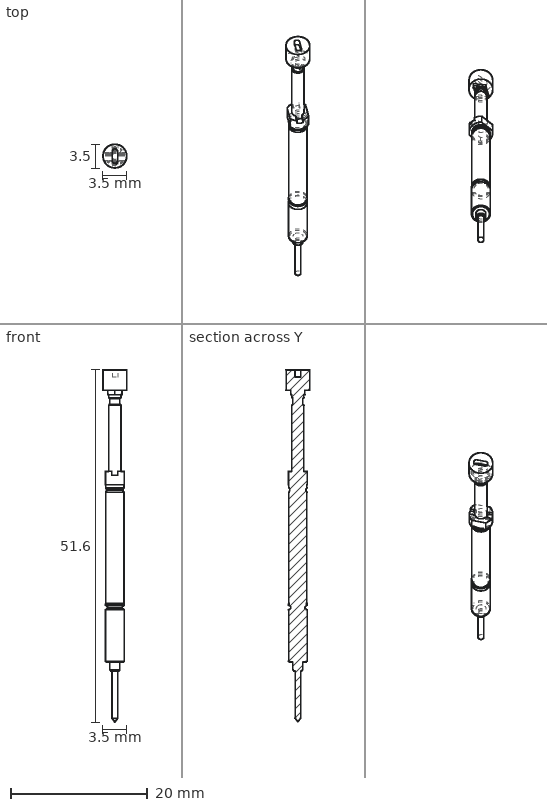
import cadquery as cq

TOTAL_LENGTH = 51.6

PIN_RADIUS = 0.45
PIN_TIP_LENGTH = 0.6
TERMINAL_RADIUS = 0.75
TERMINAL_BOTTOM = 7.5
TERMINAL_CHAMFER = 0.15

PLUG_RADIUS = 1.385
SLEEVE_RADIUS = 1.35
SLEEVE_BOTTOM = 17.3
SLEEVE_CHAMFER = 0.1
BARREL_BOTTOM = 8.8
BARREL_TOP = 34.8
PLUG_CHAMFER = 0.15
LOWER_GROOVE_RADIUS = 1.05
LOWER_GROOVE_CENTRE = 16.8
LOWER_GROOVE_LENGTH = 0.7
UPPER_GROOVE_RADIUS = 1.2
UPPER_GROOVE_CENTRE = 34.02
UPPER_GROOVE_LENGTH = 0.65
GROOVE_FLOOR_LENGTH = 0.15

COLLAR_RADIUS = 1.74
COLLAR_FLAT_DISTANCE = 1.385
COLLAR_HEIGHT = 1.95
COLLAR_NOTCH_WIDTH = 0.9
COLLAR_NOTCH_DEPTH = 0.6

SHAFT_RADIUS = 0.9
NECK_RADIUS = 0.75
NECK_BOTTOM = 46.6
NECK_TOP = 47.4
NECK_TAPER_LENGTH = 0.15

HEAD_RADIUS = 1.75
HEAD_HEIGHT = 3.0
SLOT_WIDTH = 0.8
SLOT_LENGTH = 2.1
SLOT_DEPTH = 1.0
KEY_WIDTH = 2.1
KEY_LENGTH = 3.05
KEY_HEIGHT = 0.6

COLLAR_TOP = BARREL_TOP + COLLAR_HEIGHT
HEAD_BOTTOM = TOTAL_LENGTH - HEAD_HEIGHT
KEY_BOTTOM = HEAD_BOTTOM - KEY_HEIGHT


def groove(outer_radius, floor_radius, centre, length):
    """Profile points, bottom to top, of a turned groove with sloped walls."""
    return [
        (outer_radius, centre - length / 2),
        (floor_radius, centre - GROOVE_FLOOR_LENGTH / 2),
        (floor_radius, centre + GROOVE_FLOOR_LENGTH / 2),
        (outer_radius, centre + length / 2),
    ]


def make_turned_body():
    """Revolve the pin, terminal, barrel and plunger shaft as one turned profile."""
    pin = [
        (0, 0),
        (PIN_RADIUS, PIN_TIP_LENGTH),
        (PIN_RADIUS, TERMINAL_BOTTOM),
    ]
    terminal = [
        (TERMINAL_RADIUS - TERMINAL_CHAMFER, TERMINAL_BOTTOM),
        (TERMINAL_RADIUS, TERMINAL_BOTTOM + TERMINAL_CHAMFER),
        (TERMINAL_RADIUS, BARREL_BOTTOM),
    ]
    barrel = [
        (PLUG_RADIUS - PLUG_CHAMFER, BARREL_BOTTOM),
        (PLUG_RADIUS, BARREL_BOTTOM + PLUG_CHAMFER),
        *groove(PLUG_RADIUS, LOWER_GROOVE_RADIUS, LOWER_GROOVE_CENTRE, LOWER_GROOVE_LENGTH),
        (PLUG_RADIUS, SLEEVE_BOTTOM),
        (SLEEVE_RADIUS - SLEEVE_CHAMFER, SLEEVE_BOTTOM),
        (SLEEVE_RADIUS, SLEEVE_BOTTOM + SLEEVE_CHAMFER),
        *groove(SLEEVE_RADIUS, UPPER_GROOVE_RADIUS, UPPER_GROOVE_CENTRE, UPPER_GROOVE_LENGTH),
        (SLEEVE_RADIUS, BARREL_TOP),
    ]
    shaft = [
        (SHAFT_RADIUS, BARREL_TOP),
        (SHAFT_RADIUS, NECK_BOTTOM - NECK_TAPER_LENGTH),
        (NECK_RADIUS, NECK_BOTTOM),
        (NECK_RADIUS, NECK_TOP),
        (SHAFT_RADIUS, NECK_TOP + NECK_TAPER_LENGTH),
        (SHAFT_RADIUS, KEY_BOTTOM),
        (0, KEY_BOTTOM),
    ]
    profile = cq.Workplane("XZ").polyline(pin + terminal + barrel + shaft).close()
    return profile.revolve(360, (0, 0, 0), (0, 1, 0))


def make_collar():
    """Collar with flats on its X sides and a notch across its top along Y."""
    diameter = 2 * COLLAR_RADIUS
    disc = cq.Workplane("XY").workplane(offset=BARREL_TOP).circle(COLLAR_RADIUS).extrude(COLLAR_HEIGHT)
    flats = (
        cq.Workplane("XY")
        .workplane(offset=BARREL_TOP)
        .rect(2 * COLLAR_FLAT_DISTANCE, diameter)
        .extrude(COLLAR_HEIGHT)
    )
    notch = (
        cq.Workplane("XY")
        .workplane(offset=COLLAR_TOP)
        .rect(COLLAR_NOTCH_WIDTH, diameter)
        .extrude(-COLLAR_NOTCH_DEPTH)
    )
    return disc.intersect(flats).cut(notch)


def make_head():
    """Cylindrical head with its diamond key, long axis along Y, and its round-ended slot."""
    head = cq.Workplane("XY").workplane(offset=HEAD_BOTTOM).circle(HEAD_RADIUS).extrude(HEAD_HEIGHT)
    key = (
        cq.Workplane("XY")
        .workplane(offset=HEAD_BOTTOM)
        .polyline([(KEY_WIDTH / 2, 0), (0, KEY_LENGTH / 2), (-KEY_WIDTH / 2, 0), (0, -KEY_LENGTH / 2)])
        .close()
        .extrude(-KEY_HEIGHT)
    )
    slot = (
        cq.Workplane("XY")
        .workplane(offset=TOTAL_LENGTH)
        .slot2D(SLOT_LENGTH, SLOT_WIDTH, 90)
        .extrude(-SLOT_DEPTH)
    )
    return head.union(key).cut(slot)


result = make_turned_body().union(make_collar()).union(make_head())